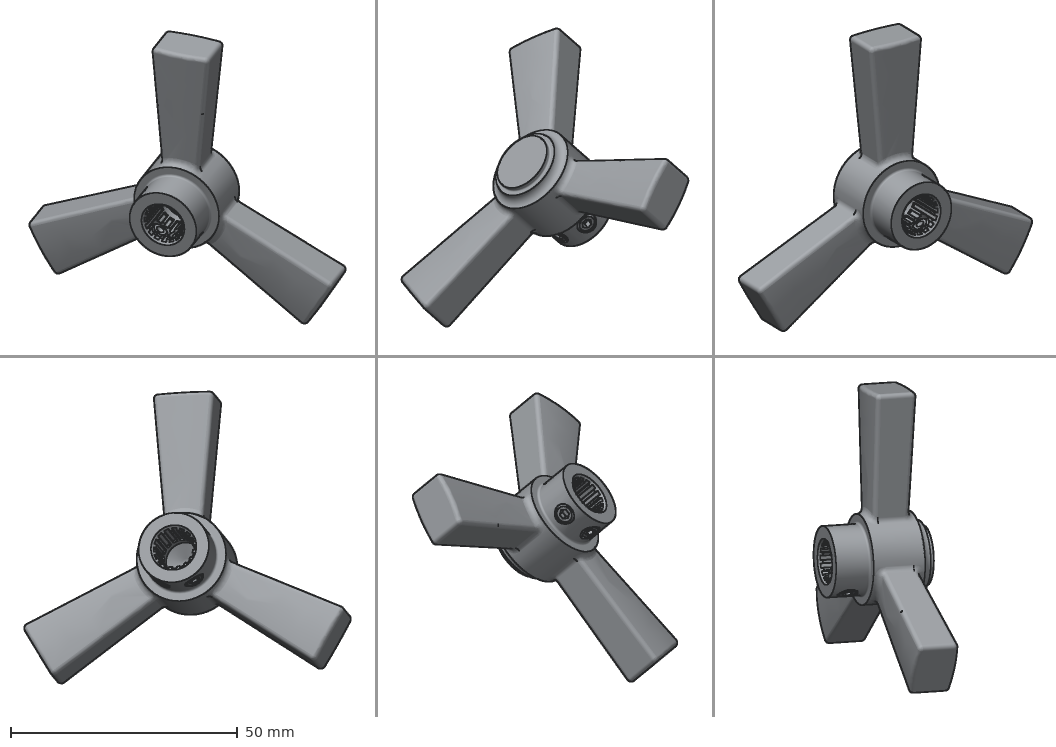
import cadquery as cq
import math

TOTAL_LENGTH = 23.15
HUB_RADIUS = 10.1
HUB_FRONT = 8.0
HUB_REAR = 20.0
SLEEVE_RADIUS = 7.9
SLEEVE_REAR = 22.0
SLEEVE_FRONT_FILLET = 0.5
SLEEVE_REAR_FILLET = 1.95
END_DISC_RADIUS = 6.7
END_DISC_FILLET = 0.35

BORE_RADIUS = 4.2
BORE_MOUTH_RADIUS = 5.1
BORE_DEPTH = 11.55
BORE_POINT_ANGLE = 118
SPLINE_GROOVE_RADIUS = 4.6
SPLINE_GROOVE_WIDTH = 1.0
SPLINE_GROOVE_COUNT = 16
SPLINE_GROOVE_LENGTH = 9.4

BLADE_COUNT = 3
BLADE_TIP = 38.15
BLADE_TIP_WIDTH = 13.8
BLADE_SIDE_ANGLE = 4.9
BLADE_FRONT = 9.95
BLADE_TIP_REAR = 19.05
BLADE_REAR_ANGLE = 1.9
BLADE_FRONT_CROWN_RATIO = 0.045
BLADE_REAR_CROWN_RATIO = 0.033
BLADE_EDGE_FILLET = 1.0
BLADE_ROOT_FILLET = 1.45

BLADE_START = SLEEVE_RADIUS / 2
ROOT_EDGE_SAMPLES = (0, 0.3, 0.6, 1)
TOLERANCE = 0.01

SCREW_ANGLES = (-60, -120)
SCREW_Y = 4.0
SCREW_RADIUS = 2.3
SCREW_INNER_END = 4.5
SCREW_OUTER_END = 7.8
SCREW_OUTER_CHAMFER = 0.5
SCREW_INNER_CHAMFER = 0.7
SOCKET_ACROSS_FLATS = 2.0
SOCKET_DEPTH = 1.8
CUP_RADIUS = 0.9


def body_of_revolution():
    """Sleeve, hub and end disc turned about the Y axis."""
    front = SLEEVE_FRONT_FILLET
    rear = SLEEVE_REAR_FILLET
    small = END_DISC_FILLET
    profile = (
        cq.Workplane("XY")
        .lineTo(SLEEVE_RADIUS, 0)
        .lineTo(SLEEVE_RADIUS, HUB_FRONT - front)
        .radiusArc((SLEEVE_RADIUS + front, HUB_FRONT), front)
        .lineTo(HUB_RADIUS, HUB_FRONT)
        .lineTo(HUB_RADIUS, HUB_REAR)
        .lineTo(SLEEVE_RADIUS + rear, HUB_REAR)
        .radiusArc((SLEEVE_RADIUS, HUB_REAR + rear), rear)
        .lineTo(SLEEVE_RADIUS, SLEEVE_REAR)
        .lineTo(END_DISC_RADIUS + small, SLEEVE_REAR)
        .radiusArc((END_DISC_RADIUS, SLEEVE_REAR + small), small)
        .lineTo(END_DISC_RADIUS, TOTAL_LENGTH)
        .lineTo(0, TOTAL_LENGTH)
        .close()
    )
    return profile.revolve(360, (0, 0, 0), (0, 1, 0))


def blade_section(height):
    """Closed wire of a blade with arched front and rear faces, at a height above the axis."""
    below_tip = BLADE_TIP - height
    half = BLADE_TIP_WIDTH / 2 - below_tip * math.tan(math.radians(BLADE_SIDE_ANGLE))
    rear = BLADE_TIP_REAR - below_tip * math.tan(math.radians(BLADE_REAR_ANGLE))
    front_crown = 2 * half * BLADE_FRONT_CROWN_RATIO
    rear_crown = 2 * half * BLADE_REAR_CROWN_RATIO
    return (
        cq.Workplane("XY", origin=(0, 0, height))
        .moveTo(-half, BLADE_FRONT)
        .threePointArc((0, BLADE_FRONT - front_crown), (half, BLADE_FRONT))
        .lineTo(half, rear)
        .threePointArc((0, rear + rear_crown), (-half, rear))
        .close()
        .val()
    )


def blade():
    """Blade pointing along +Z, with rounded long edges and tip."""
    solid = cq.Solid.makeLoft([blade_section(BLADE_START), blade_section(BLADE_TIP)], True)
    rounded_edges = [edge for edge in solid.Edges() if edge.Center().z > BLADE_START]
    return cq.Workplane(solid.fillet(BLADE_EDGE_FILLET, rounded_edges))


def is_blade_root(edge):
    """True for an edge that lies on the hub's cylinder, strictly between its end faces."""
    points = [edge.positionAt(fraction) for fraction in ROOT_EDGE_SAMPLES]
    return all(
        abs(math.hypot(point.x, point.z) - HUB_RADIUS) < TOLERANCE
        and HUB_FRONT + TOLERANCE < point.y < HUB_REAR - TOLERANCE
        for point in points
    )


def splined_bore():
    """Blind bore with a conical bottom, lengthwise grooves in its wall and a chamfered mouth."""
    point_depth = BORE_RADIUS / math.tan(math.radians(BORE_POINT_ANGLE / 2))
    bore = (
        cq.Workplane("XY")
        .lineTo(BORE_MOUTH_RADIUS, 0)
        .lineTo(BORE_RADIUS, BORE_MOUTH_RADIUS - BORE_RADIUS)
        .lineTo(BORE_RADIUS, BORE_DEPTH)
        .lineTo(0, BORE_DEPTH + point_depth)
        .close()
        .revolve(360, (0, 0, 0), (0, 1, 0))
    )
    groove = cq.Workplane("XY").box(
        SPLINE_GROOVE_WIDTH, SPLINE_GROOVE_LENGTH, SPLINE_GROOVE_RADIUS, centered=(True, False, False)
    )
    for index in range(SPLINE_GROOVE_COUNT):
        angle = index * 360 / SPLINE_GROOVE_COUNT
        bore = bore.union(groove.rotate((0, 0, 0), (0, 1, 0), angle))
    return bore


def screw_plane(angle, radius):
    """Plane across a screw's axis at a distance from the bore's axis, facing outward."""
    direction = cq.Vector(math.cos(math.radians(angle)), 0, math.sin(math.radians(angle)))
    return cq.Plane(
        origin=(direction.x * radius, SCREW_Y, direction.z * radius),
        xDir=(0, 1, 0),
        normal=direction.toTuple(),
    )


def screw_hole(angle):
    """Radial hole from the bore out through the sleeve."""
    return cq.Workplane(screw_plane(angle, 0)).circle(SCREW_RADIUS).extrude(HUB_RADIUS)


def set_screw(angle):
    """Headless screw with chamfered ends, a hexagon socket outside and a cup inside."""
    inner_face = screw_plane(angle, SCREW_INNER_END)
    outer_face = screw_plane(angle, SCREW_OUTER_END)
    screw = (
        cq.Workplane(inner_face)
        .circle(SCREW_RADIUS)
        .extrude(SCREW_OUTER_END - SCREW_INNER_END)
        .faces(cq.selectors.DirectionMinMaxSelector(inner_face.zDir, True))
        .chamfer(SCREW_OUTER_CHAMFER)
        .faces(cq.selectors.DirectionMinMaxSelector(inner_face.zDir, False))
        .chamfer(SCREW_INNER_CHAMFER)
    )
    socket = (
        cq.Workplane(outer_face)
        .polygon(6, SOCKET_ACROSS_FLATS, circumscribed=True)
        .extrude(-SOCKET_DEPTH)
    )
    cup = cq.Workplane(cq.Solid.makeCone(CUP_RADIUS, 0, CUP_RADIUS, inner_face.origin, inner_face.zDir))
    return screw.cut(socket).cut(cup)


def handle():
    """Hub with its blades, the splined bore and the two screw holes."""
    body = body_of_revolution()
    for index in range(BLADE_COUNT):
        body = body.union(blade().rotate((0, 0, 0), (0, 1, 0), index * 360 / BLADE_COUNT))
    solid = body.val()
    root_edges = [edge for edge in solid.Edges() if is_blade_root(edge)]
    body = cq.Workplane(solid.fillet(BLADE_ROOT_FILLET, root_edges))
    body = body.cut(splined_bore())
    for angle in SCREW_ANGLES:
        body = body.cut(screw_hole(angle))
    return body


bodies = [handle().val()]
for screw_angle in SCREW_ANGLES:
    bodies.append(set_screw(screw_angle).val())

result = cq.Compound.makeCompound(bodies)